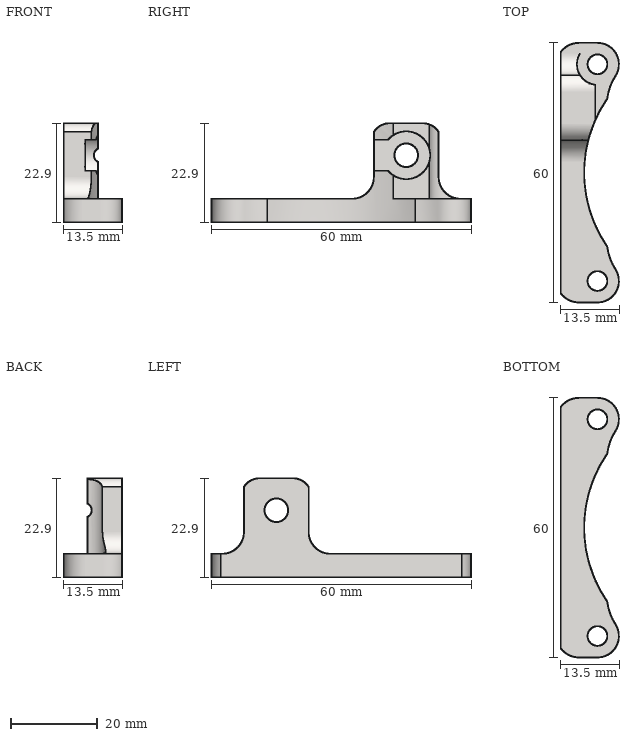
import cadquery as cq
import math

length = 60.0
base_height = 5.45
ear_radius = 5.0
ear_x = 8.5
ear_y = length / 2 - ear_radius
screw_diameter = 4.5

corner_radius = 5.3
corner_x = 4.25

waist_width = 5.45
hollow_radius = 30.0
hollow_half_length = 17.1

neck_angle = math.radians(32)
neck_radius = 12.6
ear_mid_angle = math.radians(30)

tab_y = 15.0
tab_width = 15.0
tab_depth = 8.0
tab_top = 22.9
tab_flat = 7.45
tab_corner_radius = 4.5
root_radius = 5.0

cross_z = 15.5
cross_diameter = 5.4
counterbore_diameter = 11.05
slot_height = 7.15
pocket_depth = 3.0

clearance_radius = 4.75


def arc_drop(radius, run):
    """How far an arc falls, over the given run, from where it is tangent to a flat edge."""
    return radius - math.sqrt(radius**2 - run**2)


def hollow_x(y):
    """X of the hollow side at a given Y."""
    return waist_width + arc_drop(hollow_radius, y)


def on_ear(angle):
    """Point on the +Y ear arc, with the angle measured from +X."""
    return (ear_x + ear_radius * math.cos(angle), ear_y + ear_radius * math.sin(angle))


def mirrored(point):
    """The same point on the other half of the base."""
    return (point[0], -point[1])


def base_outline():
    """Base plate outline, symmetric about Y = 0."""
    corner_side = (0, length / 2 - arc_drop(corner_radius, corner_x))
    corner_end = (corner_x, length / 2)
    ear_end = (ear_x, length / 2)
    ear_mid = on_ear(ear_mid_angle)
    neck = on_ear(-neck_angle)
    kink = (hollow_x(hollow_half_length), hollow_half_length)

    return (
        cq.Workplane("XY")
        .moveTo(*corner_side)
        .radiusArc(corner_end, corner_radius)
        .lineTo(*ear_end)
        .threePointArc(ear_mid, neck)
        .radiusArc(kink, -neck_radius)
        .threePointArc((waist_width, 0), mirrored(kink))
        .radiusArc(mirrored(neck), -neck_radius)
        .threePointArc(mirrored(ear_mid), mirrored(ear_end))
        .lineTo(*mirrored(corner_end))
        .radiusArc(mirrored(corner_side), corner_radius)
        .close()
    )


def tab_outline():
    """Tab on the base, with rounded roots and rounded top corners, in the YZ plane."""
    left = tab_y - tab_width / 2
    right = tab_y + tab_width / 2
    shoulder_z = tab_top - arc_drop(tab_corner_radius, (tab_width - tab_flat) / 2)
    root_z = base_height + root_radius

    return (
        cq.Workplane("YZ")
        .moveTo(left - root_radius, 0)
        .lineTo(left - root_radius, base_height)
        .radiusArc((left, root_z), -root_radius)
        .lineTo(left, shoulder_z)
        .radiusArc((tab_y - tab_flat / 2, tab_top), tab_corner_radius)
        .lineTo(tab_y + tab_flat / 2, tab_top)
        .radiusArc((right, shoulder_z), tab_corner_radius)
        .lineTo(right, root_z)
        .radiusArc((right + root_radius, base_height), -root_radius)
        .lineTo(right + root_radius, 0)
        .close()
    )


def tab():
    """Tab trimmed to the base outline and cleared for the screw head."""
    screw_clearance = (
        cq.Workplane("XY")
        .workplane(offset=base_height)
        .center(ear_x, ear_y)
        .circle(clearance_radius)
        .extrude(tab_top - base_height)
    )
    return (
        tab_outline()
        .extrude(tab_depth)
        .intersect(base_outline().extrude(tab_top))
        .cut(screw_clearance)
    )


def screw_holes():
    """Vertical holes through the two ears."""
    return (
        cq.Workplane("XY")
        .pushPoints([(ear_x, ear_y), (ear_x, -ear_y)])
        .circle(screw_diameter / 2)
        .extrude(base_height)
    )


def cross_hole():
    """Hole along X through the tab."""
    return (
        cq.Workplane("YZ")
        .center(tab_y, cross_z)
        .circle(cross_diameter / 2)
        .extrude(tab_depth)
    )


def pocket():
    """Counterbore around the cross hole, joined to a slot that leaves through the -Y side."""
    floor = cq.Workplane("YZ").workplane(offset=tab_depth - pocket_depth).center(tab_y, cross_z)
    counterbore = floor.circle(counterbore_diameter / 2).extrude(pocket_depth)
    slot = (
        floor.center(-tab_width / 2, 0)
        .rect(tab_width, slot_height)
        .extrude(pocket_depth)
    )
    return counterbore.union(slot)


base = base_outline().extrude(base_height)
result = base.union(tab()).cut(screw_holes()).cut(cross_hole()).cut(pocket())